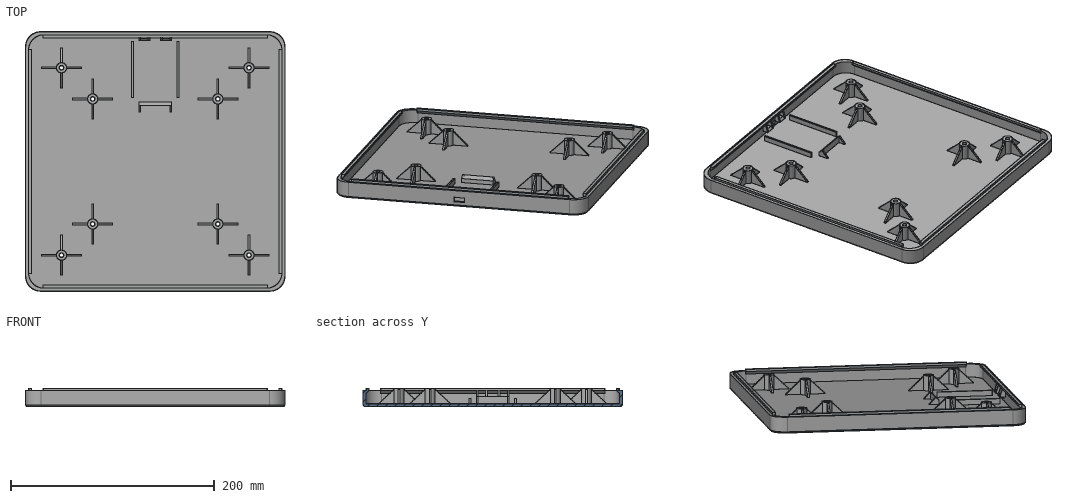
import cadquery as cq

tray_side = 255.0
wall_height = 16.0
corner_radius = 15.0
bottom_chamfer = 1.5
wall_thickness = 3.0
floor_thickness = 3.0

lip_length = 220.0
lip_thickness = 3.0
lip_top = 18.0

outer_boss_offset = 92.0
inner_boss_offset = 61.5
boss_diameter = 10.0
screw_hole_diameter = 4.0
boss_top = 18.0
gusset_reach = 19.6
gusset_thickness = 1.8
gusset_drop = 1.0
gusset_tip_height = 0.3

rail_inner_x = 21.5
rail_start_y = 63.0
rail_end_y = 118.0
rail_height = 5.0
rib_thickness = 1.8

compartment_half_width = 16.0
stop_ramp_end_y = 58.5
stop_front_y = 55.0
stop_gusset_end_y = 48.5
stop_height = 7.1
stop_ramp_drop = 3.0

clip_inner_x = 5.4
clip_tip_y = 118.8
clip_bottom = 8.2
clip_shelf_thickness = 2.0

window_bottom = 4.5
window_top = 9.2

cavity_half = tray_side / 2 - wall_thickness
lip_inner = cavity_half - lip_thickness


def block(x_min, x_max, y_min, y_max, z_min, z_max):
    """Axis-aligned block between the given limits."""
    size = (x_max - x_min, y_max - y_min, z_max - z_min)
    return cq.Workplane("XY").box(*size, centered=False).translate((x_min, y_min, z_min))


def slab_from_profile(yz_points, x_min, x_max):
    """Closed (y, z) outline extruded along X between the given limits."""
    outline = cq.Workplane("YZ").polyline(yz_points).close()
    return outline.extrude(x_max - x_min).translate((x_min, 0, 0))


def add_mirrored_in_x(body, feature):
    """Join a feature and its mirror image across the YZ plane to the body."""
    return body.union(feature).union(feature.mirror("YZ"))


def make_tray():
    outside = (
        cq.Workplane("XY")
        .rect(tray_side, tray_side)
        .extrude(wall_height)
        .edges("|Z")
        .fillet(corner_radius)
        .faces("<Z")
        .chamfer(bottom_chamfer)
    )
    cavity = (
        cq.Workplane("XY")
        .workplane(offset=floor_thickness)
        .rect(2 * cavity_half, 2 * cavity_half)
        .extrude(wall_height)
        .edges("|Z")
        .fillet(corner_radius)
    )
    return outside.cut(cavity)


def make_lip():
    """Lip on the +Y wall, carried by a 45 degree slope below the rim."""
    profile = [
        (cavity_half, wall_height - lip_thickness),
        (lip_inner, wall_height),
        (lip_inner, lip_top),
        (cavity_half, lip_top),
    ]
    return slab_from_profile(profile, -lip_length / 2, lip_length / 2)


def make_boss():
    """Boss on the Z axis with gussets along X and Y."""
    boss = (
        cq.Workplane("XY")
        .workplane(offset=floor_thickness)
        .circle(boss_diameter / 2)
        .extrude(boss_top - floor_thickness)
    )
    shoulder_z = boss_top - gusset_drop
    tip_z = floor_thickness + gusset_tip_height
    profile = [
        (-gusset_reach, floor_thickness),
        (gusset_reach, floor_thickness),
        (gusset_reach, tip_z),
        (boss_diameter / 2, shoulder_z),
        (-boss_diameter / 2, shoulder_z),
        (-gusset_reach, tip_z),
    ]
    y_gussets = slab_from_profile(profile, -gusset_thickness / 2, gusset_thickness / 2)
    x_gussets = y_gussets.rotate((0, 0, 0), (0, 0, 1), 90)
    return boss.union(y_gussets).union(x_gussets)


def corner_points(offset):
    """The four points at +-offset in X and Y."""
    return [(x, y) for x in (-offset, offset) for y in (-offset, offset)]


def make_rail():
    return block(
        rail_inner_x, rail_inner_x + rib_thickness,
        rail_start_y, rail_end_y,
        floor_thickness, floor_thickness + rail_height,
    )


def make_half_stop():
    """+X half of the stop: a wall with a ramp toward +Y and an end gusset toward -Y."""
    top_z = floor_thickness + stop_height
    wall_profile = [
        (stop_front_y, floor_thickness),
        (stop_ramp_end_y, floor_thickness),
        (stop_ramp_end_y, top_z - stop_ramp_drop),
        (stop_front_y, top_z),
    ]
    gusset_profile = [
        (stop_front_y, floor_thickness),
        (stop_front_y, top_z),
        (stop_gusset_end_y, floor_thickness),
    ]
    wall = slab_from_profile(wall_profile, 0, compartment_half_width)
    gusset = slab_from_profile(
        gusset_profile, compartment_half_width - rib_thickness, compartment_half_width
    )
    return wall.union(gusset)


def make_clip():
    """+X clip: a ramped shelf on the +Y wall with a gusset at each end running up to the lip."""
    shelf_top = clip_bottom + clip_shelf_thickness
    shelf_profile = [
        (clip_tip_y, clip_bottom),
        (cavity_half, clip_bottom),
        (cavity_half, shelf_top),
        (clip_tip_y + clip_shelf_thickness, shelf_top),
    ]
    gusset_profile = [
        (clip_tip_y, clip_bottom),
        (cavity_half, clip_bottom),
        (cavity_half, wall_height),
        (lip_inner, wall_height),
    ]
    clip = slab_from_profile(shelf_profile, clip_inner_x, compartment_half_width)
    for x_min in (clip_inner_x, compartment_half_width - rib_thickness):
        clip = clip.union(slab_from_profile(gusset_profile, x_min, x_min + rib_thickness))
    return clip


result = make_tray()

lip = make_lip()
for quarter_turn in range(4):
    result = result.union(lip.rotate((0, 0, 0), (0, 0, 1), 90 * quarter_turn))

boss = make_boss()
boss_centres = corner_points(outer_boss_offset) + corner_points(inner_boss_offset)
for x, y in boss_centres:
    result = result.union(boss.translate((x, y, 0)))
screw_holes = cq.Workplane("XY").pushPoints(boss_centres).circle(screw_hole_diameter / 2)
result = result.cut(screw_holes.extrude(boss_top))

for feature in (make_rail(), make_half_stop(), make_clip()):
    result = add_mirrored_in_x(result, feature)

window = block(
    -clip_inner_x, clip_inner_x, cavity_half, tray_side / 2, window_bottom, window_top
)
result = result.cut(window)